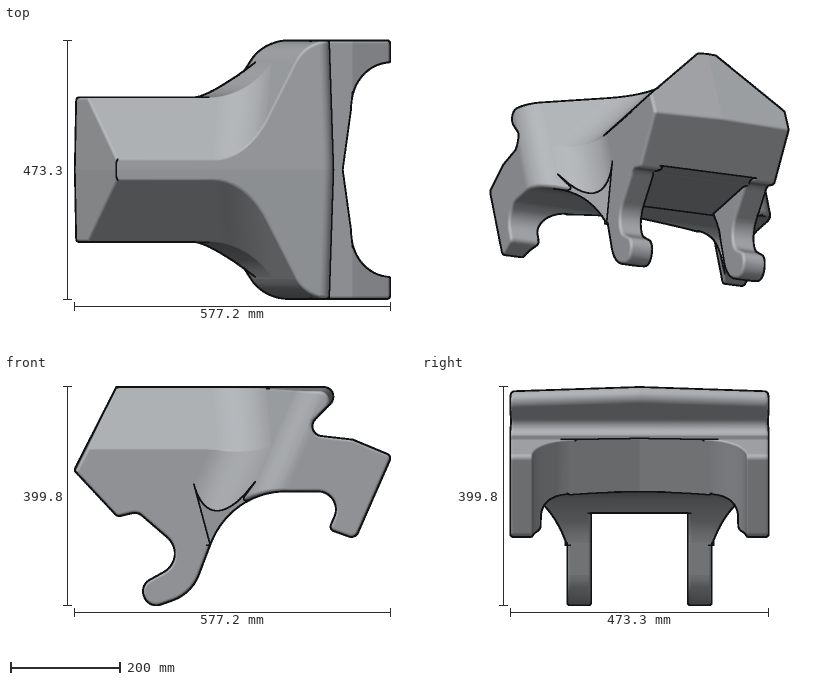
import cadquery as cq
import math

HALF_WIDTH = 473.29 / 2
SPACE = 1200.0

NOSE_TOP_X = 76.0
NOSE_TIP_X = -1.5
NOSE_TIP_Z = -152.5
NOSE_SETBACK = 4.0

STEM_HALF_WIDTH = 132.5
RIDGE_HALF_WIDTH = 18.0
CHAMFER_FOOT_Z = -113.0
HOOK_INNER_Y = 88.0
BELLY_Z = -231.0
CROWN_DROP = 8.0

REAR_TOP_CORNER = (579.85, -126.0)
REAR_BOTTOM_CORNER = (512.95, -278.3)
BACK_EDGE_X = 498.0
BACK_EDGE_RADIUS = 18.0

FLARE_ANGLE = math.radians(62.4)
FLARE_START_X = 313.0
FLARE_BLEND_RADIUS = 112.0
SHOULDER_RADIUS = 64.0
FLARE_MIN_X = 215.0
FLARE_BOTTOM_Z = -290.0
FLARE_UNDERCUT_POINT = (217.0, STEM_HALF_WIDTH, -175.0)
FLARE_UNDERCUT_NORMAL = (-0.485, 0.864, -0.13)

RECESS_CENTRE_DEPTH = 95.0
RECESS_SIDE_DEPTH = 78.0
RECESS_SIDE_Y = 128.0
REAR_HOOK_INNER_Y = 196.0
RECESS_OVERRUN = 100.0

EDGE_RADIUS = 6.0
RECESS_EDGE_RADIUS = 3.0

LEAN = math.atan2(
    REAR_TOP_CORNER[0] - REAR_BOTTOM_CORNER[0],
    REAR_TOP_CORNER[1] - REAR_BOTTOM_CORNER[1],
)
UP_LEAN = cq.Vector(math.sin(LEAN), 0, math.cos(LEAN))

SIDE_CORNERS = [
    (NOSE_TOP_X, 0, 0),
    (NOSE_TIP_X, NOSE_TIP_Z, 0),
    (78, -237.5, 10),
    (115, -228.8, 20),
    (211, -311.5, 38.5),
    (118, -363.3, 23.65),
    (136, -405.8, 23.65),
    (213.7, -378.5, 80),
    (284.8, -191.5, 146),
    (494, -191.5, 32.5),
    (464.5, -260.6, 9),
    (*REAR_BOTTOM_CORNER, 14),
    (*REAR_TOP_CORNER, 9),
    (508, -96.2, 0),
    (414, -85.5, 18),
    (BACK_EDGE_X, 0, 0),
]


def box_between(low, high):
    size = [b - a for a, b in zip(low, high)]
    return cq.Workplane("XY").box(*size, centered=False).translate(low)


def slab(y_min, y_max):
    """Layer between two Y values, unlimited in X and Z."""
    return box_between((-SPACE, y_min, -SPACE), (SPACE, y_max, SPACE))


def half_space(point, normal):
    """Large block that lies on the side of a plane its normal points to."""
    return cq.Workplane(cq.Plane(origin=point, normal=normal)).rect(SPACE, SPACE).extrude(SPACE)


def edges_within(body, low, high):
    """Edges whose centres lie in the given box."""
    return body.edges(cq.selectors.BoxSelector(low, high))


def rounded_outline(corners):
    """Closed XZ outline whose corners are rounded by tangent arcs."""
    rounds = []
    for index, (x, z, radius) in enumerate(corners):
        corner = cq.Vector(x, z)
        next_corner = corners[(index + 1) % len(corners)]
        back = (cq.Vector(*corners[index - 1][:2]) - corner).normalized()
        ahead = (cq.Vector(*next_corner[:2]) - corner).normalized()
        half_angle = back.getAngle(ahead) / 2
        reach = radius / math.tan(half_angle)
        arc_offset = radius / math.sin(half_angle) - radius
        middle = corner + (back + ahead).normalized() * arc_offset
        rounds.append((corner + back * reach, middle, corner + ahead * reach, radius))

    path = cq.Workplane("XZ").moveTo(*rounds[-1][2].toTuple()[:2])
    for start, middle, end, radius in rounds:
        path = path.lineTo(start.x, start.y)
        if radius:
            path = path.threePointArc((middle.x, middle.y), (end.x, end.y))
    return path.close()


def side_body():
    """Side outline over the half width, with the sloping crown and the swept-back nose."""
    body = rounded_outline(SIDE_CORNERS).extrude(-HALF_WIDTH)
    body = body.cut(half_space((0, 0, 0), (0, CROWN_DROP / HALF_WIDTH, 1)))
    back_edge = cq.selectors.NearestToPointSelector((BACK_EDGE_X, HALF_WIDTH / 2, -CROWN_DROP / 2))
    body = body.edges(back_edge).fillet(BACK_EDGE_RADIUS)
    nose_sweep = -NOSE_TIP_Z * NOSE_SETBACK / STEM_HALF_WIDTH
    return body.cut(half_space((NOSE_TIP_X, 0, NOSE_TIP_Z), (NOSE_TIP_Z, nose_sweep, NOSE_TOP_X - NOSE_TIP_X)))


def stem_block():
    """Slab of the stem width under the large chamfer."""
    chamfer_run = STEM_HALF_WIDTH - RIDGE_HALF_WIDTH
    below_chamfer = half_space((0, RIDGE_HALF_WIDTH, 0), (0, CHAMFER_FOOT_Z, -chamfer_run))
    return slab(0, STEM_HALF_WIDTH).intersect(below_chamfer)


def flare_block():
    """Full-width block behind the leaning flare wall, with its rounded shoulder."""
    along_top = cq.Vector(math.cos(FLARE_ANGLE), math.sin(FLARE_ANGLE), 0)
    inward = UP_LEAN.cross(along_top) * -1
    block = half_space((FLARE_START_X, RIDGE_HALF_WIDTH, 0), inward.toTuple())
    block = block.intersect(slab(0, HALF_WIDTH))
    return block.faces(">Y").edges("<X").fillet(SHOULDER_RADIUS)


def rear_recess():
    """Scoop between the rear hooks, running parallel to the leaning end face."""
    x_top, z_top = REAR_TOP_CORNER
    backward = (math.cos(LEAN), 0, -math.sin(LEAN))
    plane = cq.Plane(origin=(x_top, 0, z_top), xDir=backward, normal=UP_LEAN.toTuple())
    return (
        cq.Workplane(plane)
        .moveTo(-RECESS_CENTRE_DEPTH, 0)
        .lineTo(-RECESS_SIDE_DEPTH, RECESS_SIDE_Y)
        .tangentArcPoint((0, REAR_HOOK_INNER_Y), relative=False)
        .lineTo(RECESS_OVERRUN, REAR_HOOK_INNER_Y)
        .lineTo(RECESS_OVERRUN, 0)
        .close()
        .extrude(SPACE / 2, both=True)
    )


def below_belly(half_width):
    """Space between the front hooks, below the belly."""
    return box_between((0, 0, -SPACE), (SPACE, half_width, BELLY_Z))


def front_part():
    """Stem and front hook with their rounded edges."""
    stem = side_body().intersect(stem_block())
    outer_edges = stem.faces(">Y").edges()
    nose_edges = edges_within(stem, (NOSE_TIP_X, 1, NOSE_TIP_Z - 20), (NOSE_TOP_X - 1, STEM_HALF_WIDTH, -1))
    ridge_edges = edges_within(stem, (NOSE_TOP_X, RIDGE_HALF_WIDTH - 2, -3), (SPACE, STEM_HALF_WIDTH, 0))
    stem = outer_edges.add(nose_edges).add(ridge_edges).fillet(EDGE_RADIUS)

    hook_top_z = BELLY_Z + 31
    hook = stem.intersect(box_between((0, HOOK_INNER_Y, -SPACE), (SPACE, HALF_WIDTH, hook_top_z)))
    inner_low = (0, HOOK_INNER_Y - 0.5, -SPACE)
    inner_high = (REAR_BOTTOM_CORNER[0] / 2, HOOK_INNER_Y + 0.5, hook_top_z - 1)
    hook = edges_within(hook, inner_low, inner_high).fillet(EDGE_RADIUS)
    return stem.cut(below_belly(STEM_HALF_WIDTH)).union(hook)


def flared_envelope():
    """Stem and flare joined by large concave blends, trimmed at the lower end of the flare."""
    flare = flare_block()
    joined = flare.union(stem_block())
    chamfer_valley = cq.selectors.NearestToPointSelector((FLARE_START_X, STEM_HALF_WIDTH / 2, CHAMFER_FOOT_Z / 2))
    side_valley = cq.selectors.NearestToPointSelector((FLARE_MIN_X, STEM_HALF_WIDTH, FLARE_BOTTOM_Z))
    valleys = joined.edges(chamfer_valley).add(joined.edges(side_valley))
    blended = valleys.fillet(FLARE_BLEND_RADIUS)

    undercut = half_space(FLARE_UNDERCUT_POINT, FLARE_UNDERCUT_NORMAL)
    undercut = undercut.intersect(slab(STEM_HALF_WIDTH, SPACE))
    flare_range = box_between((FLARE_MIN_X, 0, FLARE_BOTTOM_Z), (SPACE, SPACE, SPACE))
    return blended.cut(undercut).union(flare).intersect(flare_range)


def rear_part():
    """Flare and rear hook with their rounded edges."""
    body = side_body().cut(rear_recess())
    recess_edges = edges_within(body, (455, 5, -300), (560, 200, -180))
    body = recess_edges.fillet(RECESS_EDGE_RADIUS)

    body = body.intersect(flared_envelope())
    side_edges = body.faces(">Y").edges()
    foot_edges = edges_within(body, (240, 100, CHAMFER_FOOT_Z - 22), (340, 198, CHAMFER_FOOT_Z + 11))
    body = side_edges.add(foot_edges).fillet(EDGE_RADIUS)
    hook_middle_y = (HOOK_INNER_Y + STEM_HALF_WIDTH) / 2
    return body.cut(below_belly(hook_middle_y))


half = front_part().cut(rear_recess()).union(rear_part())
result = half.union(half.mirror("XZ"))